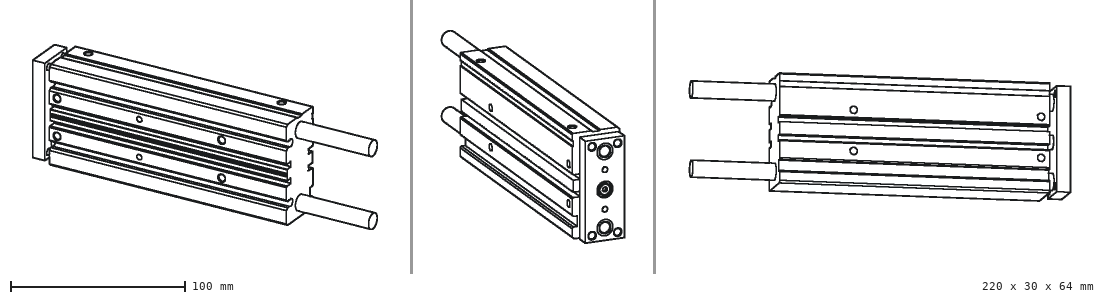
import cadquery as cq
import math

total_length = 220.0
plate_thickness = 8.1
housing_start = 12.8
housing_length = 158.5
rod_spacing = 46.2

housing_depth = 30.0
housing_height = 64.0
corner_chamfer = 1.3
top_back_chamfer = 0.7
rib_setback = 0.7

groove_depth = 0.7
top_groove_width = 5.5
back_groove_width = 3.3
back_groove_z = 25.7

switch_slot_z = 19.0
switch_slot_width = 4.0
switch_slot_chamfer = 1.3
switch_channel_diameter = 4.6
switch_channel_depth = 4.6

middle_slot_z = 5.3
middle_slot_width = 3.3
middle_slot_depth = 5.0
middle_slot_chamfer = 0.7
rib_groove_width = 2.2
rib_groove_floor_width = 0.9
rib_groove_depth = 0.33
rib_chamfer = 0.2

wide_slot_z = -21.5
wide_slot_width = 6.4
wide_slot_depth = 3.3
wide_slot_chamfer = 0.9

hole_spacing = 24.0
mount_hole_x = (17.8, 127.8)
mount_hole_diameter = 4.2
hole_chamfer = 0.5
dowel_hole_x = 72.8
dowel_hole_diameter = 3.3
dowel_hole_depth = 6.5
port_x = (24.0, 153.1)
port_y = 10.0
port_diameter = 4.2
port_depth = 6.5
drill_point_angle = 118

plate_depth = 24.6
plate_height = 61.8
corner_hole_pitch_y = 16.0
corner_hole_pitch_z = 54.0
corner_hole_diameter = 4.2
plate_dowel_diameter = 3.3
plate_dowel_depth = 5.3

guide_diameter = 10.0
guide_recess_diameter = 7.3
guide_recess_depth = 0.5
piston_diameter = 8.4
piston_insertion = 22.0
piston_neck_diameter = 7.3
piston_neck_chamfer = 0.5
piston_recess_depth = 1.8
piston_socket_diameter = 2.9
piston_socket_depth = 2.2
piston_recess_diameter = guide_diameter

FRONT, BACK = -1, 1


def cylinder_x(diameter, start, length, y=0, z=0):
    axis = cq.Vector(1, 0, 0)
    return cq.Workplane(cq.Solid.makeCylinder(diameter / 2, length, cq.Vector(start, y, z), axis))


def hole(diameter, depth, point, direction, chamfer=0, pointed=False):
    """Round hole from a point along a direction, with an optional mouth chamfer and drill point."""
    radius = diameter / 2
    start, axis = cq.Vector(point), cq.Vector(direction)
    tool = cq.Solid.makeCylinder(radius, depth, start, axis)
    if chamfer:
        tool = tool.fuse(cq.Solid.makeCone(radius + chamfer, radius, chamfer, start, axis))
    if pointed:
        point_length = radius / math.tan(math.radians(drill_point_angle / 2))
        tool = tool.fuse(cq.Solid.makeCone(radius, 0, point_length, start + axis * depth, axis))
    return cq.Workplane(tool)


def housing_prism(points):
    outline = cq.Workplane("YZ", origin=(housing_start, 0, 0)).polyline(points).close()
    return outline.extrude(housing_length)


def housing_blank():
    y, z = housing_depth / 2, housing_height / 2
    c, b = corner_chamfer, top_back_chamfer
    return housing_prism([
        (-y, c - z), (c - y, -z), (y - c, -z), (y, c - z),
        (y, z - b), (y - b, z), (c - y, z), (-y, z - c),
    ])


def groove(side, z, mouth_width, floor_width, depth, face=housing_depth / 2):
    """Shallow groove whose walls slope when its floor and mouth differ in width."""
    top, floor = side * face, side * (face - depth)
    upper = [(top, z + mouth_width / 2), (floor, z + floor_width / 2)]
    lower = [(floor, z - floor_width / 2), (top, z - mouth_width / 2)]
    return housing_prism(upper + lower)


def mirrored_slot(side, z, half_outline):
    """Slot whose half outline, as (distance from the side face, half width), is mirrored about its middle."""
    upper = [(side * (housing_depth / 2 - down), z + half) for down, half in half_outline]
    lower = [(side * (housing_depth / 2 - down), z - half) for down, half in reversed(half_outline)]
    return housing_prism(upper + lower)


def plain_slot(side, z, width, depth, chamfer):
    half = width / 2
    return mirrored_slot(side, z, [(0, half + chamfer), (chamfer, half), (depth, half)])


def switch_slot(z):
    """Slot of the -Y side that opens into a round channel at its bottom."""
    neck = plain_slot(FRONT, z, switch_slot_width, switch_channel_depth, switch_slot_chamfer)
    channel_y = switch_channel_depth - housing_depth / 2
    return neck.union(cylinder_x(switch_channel_diameter, housing_start, housing_length, channel_y, z))


def top_groove():
    top = housing_height / 2
    half = top_groove_width / 2
    floor_half = half - groove_depth
    return housing_prism([
        (-half, top), (half, top), (floor_half, top - groove_depth), (-floor_half, top - groove_depth),
    ])


def rib_corner(z_sign):
    """Triangle that chamfers one front edge of the middle rib."""
    y = rib_setback - housing_depth / 2
    z = middle_slot_z - middle_slot_width / 2
    return housing_prism([
        (y, z_sign * z), (y + rib_chamfer, z_sign * z), (y, z_sign * (z - rib_chamfer)),
    ])


def build_housing():
    body = housing_blank()
    for side in (FRONT, BACK):
        for z in (middle_slot_z, -middle_slot_z):
            body = body.cut(plain_slot(side, z, middle_slot_width, middle_slot_depth, middle_slot_chamfer))
        body = body.cut(groove(side, 0, 2 * middle_slot_z, 2 * middle_slot_z, rib_setback))
    for z in (switch_slot_z, -switch_slot_z):
        body = body.cut(switch_slot(z))
    rib_face = housing_depth / 2 - rib_setback
    body = body.cut(groove(FRONT, 0, rib_groove_width, rib_groove_floor_width, rib_groove_depth, rib_face))
    for z_sign in (1, -1):
        body = body.cut(rib_corner(z_sign))
    body = body.cut(groove(BACK, back_groove_z, back_groove_width, back_groove_width, groove_depth))
    body = body.cut(plain_slot(BACK, wide_slot_z, wide_slot_width, wide_slot_depth, wide_slot_chamfer))
    top = housing_height / 2
    body = body.cut(top_groove())
    front_y = -housing_depth / 2
    for z in (hole_spacing / 2, -hole_spacing / 2):
        for x in mount_hole_x:
            body = body.cut(hole(mount_hole_diameter, housing_depth, (x, front_y, z), (0, 1, 0), hole_chamfer))
        body = body.cut(hole(dowel_hole_diameter, dowel_hole_depth,
                             (dowel_hole_x, front_y, z), (0, 1, 0), pointed=True))
    for x in port_x:
        body = body.cut(hole(port_diameter, port_depth, (x, port_y, top), (0, 0, -1), hole_chamfer, pointed=True))
    for z in (rod_spacing / 2, -rod_spacing / 2):
        body = body.cut(cylinder_x(guide_diameter, 0, total_length, 0, z))
    return body.cut(cylinder_x(piston_diameter, housing_start, piston_insertion))


def build_plate():
    body = cq.Workplane("XY").box(plate_thickness, plate_depth, plate_height).translate((plate_thickness / 2, 0, 0))
    for y in (-corner_hole_pitch_y / 2, corner_hole_pitch_y / 2):
        for z in (-corner_hole_pitch_z / 2, corner_hole_pitch_z / 2):
            body = body.cut(hole(corner_hole_diameter, plate_thickness, (0, y, z), (1, 0, 0), hole_chamfer))
    for z in (hole_spacing / 2, -hole_spacing / 2):
        body = body.cut(hole(plate_dowel_diameter, plate_dowel_depth, (0, 0, z), (1, 0, 0), pointed=True))
    for z in (rod_spacing / 2, -rod_spacing / 2):
        body = body.cut(cylinder_x(guide_diameter, 0, plate_thickness, 0, z))
    body = body.cut(cylinder_x(piston_recess_diameter, 0, piston_recess_depth))
    return body.cut(cylinder_x(piston_neck_diameter, 0, plate_thickness))


def build_guide_rod(z):
    rod = cylinder_x(guide_diameter, 0, total_length, 0, z)
    recess = cylinder_x(guide_recess_diameter, 0, guide_recess_depth, 0, z)
    return rod.cut(recess.faces(">X").chamfer(0.99 * guide_recess_depth))


def build_piston_rod():
    neck = cylinder_x(piston_neck_diameter, 0, plate_thickness).faces("<X").chamfer(piston_neck_chamfer)
    shank_length = housing_start + piston_insertion - plate_thickness
    rod = neck.union(cylinder_x(piston_diameter, plate_thickness, shank_length))
    return rod.cut(cylinder_x(piston_socket_diameter, 0, piston_socket_depth))


housing = build_housing()
plate = build_plate()
guides = [build_guide_rod(z) for z in (rod_spacing / 2, -rod_spacing / 2)]
piston = build_piston_rod()
result = cq.Compound.makeCompound([housing.val(), plate.val(), *[g.val() for g in guides], piston.val()])